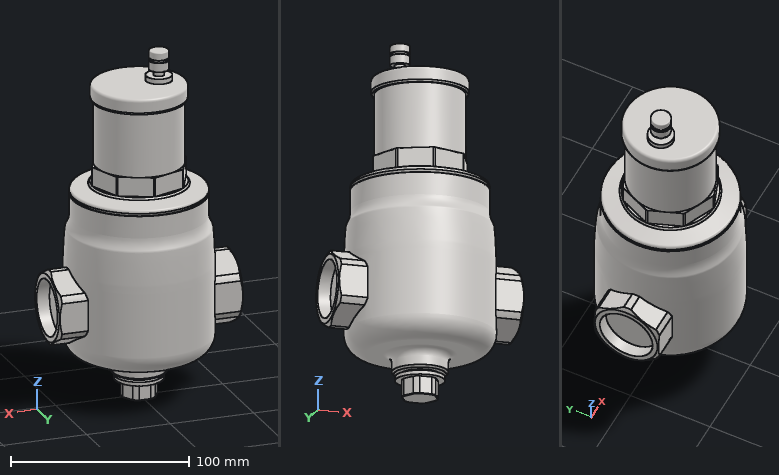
import cadquery as cq
import math


plug_hex_flats = 19.7
plug_hex_corner_radius = 10.5
plug_hex_top = 10.2
plug_hex_chamfer = 0.5
plug_flange_radius = 14.1
plug_flange_top = 12.5
plug_neck_radius = 10.9
plug_top = 14.1

boss_radius = 16.0
boss_chamfer = 1.2
boss_fillet = 4.7
housing_diameter = 85.9
housing_radius = housing_diameter / 2
housing_floor = 25.6
housing_floor_fillet = 11.9
taper_start = 75.8
taper_top = 100.0
taper_top_radius = 41.8
shoulder_edge_height = 101.3
shoulder_edge_radius = 41.5
collar_start = 108.0
collar_radius = 39.4
housing_top = 121.2

port_span = 110.0
port_height = 59.0
port_flats = 40.4
port_corner_radius = 22.1
port_face_radius = 19.7
port_chamfer_length = 1.54
port_bore_radius = 16.6
port_bore_depth = 7.5

cover_lip_radius = 38.5
cover_lip_height = 1.6
cover_edge_height = 123.2
cover_cone_radius = 38.1
cover_cone_start = 124.8
cover_cone_top = 126.9
cover_cone_top_radius = 28.7
octagon_bottom = 128.1
octagon_top = 139.5
octagon_corner_radius = 27.7
octagon_corner_width = 1.0
octagon_turn = -2.0
can_radius = 25.8
cap_radius = 27.7
cap_bottom = 177.5
cap_top = 187.0
cap_bottom_radius = 27.0
cap_bottom_edge_height = 1.2
cap_top_fillet = 2.0

valve_x = -11.9
valve_disc_radius = 7.5
valve_disc_top = 190.0
valve_stem_radius = 3.0
valve_knob_radius = 5.7
valve_knob_bottom = 193.5
valve_groove_radius = 5.1
valve_groove_bottom = 198.8
valve_groove_top = 200.3
valve_top = 205.0
valve_top_fillet = 0.6


def cylinder(radius, bottom, top):
    return cq.Workplane("XY", origin=(0, 0, bottom)).circle(radius).extrude(top - bottom)


def blunt_prism(plane, sides, flats, corner_radius, length, turn=0.0):
    """Regular prism whose corners are rounded off by a coaxial cylinder."""
    circumscribed = flats / math.cos(math.pi / sides)
    prism = plane.transformed(rotate=(0, 0, turn)).polygon(sides, circumscribed).extrude(length)
    return prism.intersect(plane.circle(corner_radius).extrude(length))


def make_drain_plug():
    hexagon = blunt_prism(cq.Workplane("XY"), 6, plug_hex_flats, plug_hex_corner_radius, plug_hex_top)
    hexagon = hexagon.faces("<Z").chamfer(plug_hex_chamfer)
    flange = cylinder(plug_flange_radius, plug_hex_top, plug_flange_top)
    neck = cylinder(plug_neck_radius, plug_flange_top, plug_top)
    return hexagon.union(flange).union(neck)


def make_housing_shell():
    """Turned outside of the housing, from the drain boss up to the collar."""
    floor_fillet_drop = housing_floor_fillet * math.sqrt(0.5)
    boss_fillet_drop = boss_fillet * math.sqrt(0.5)
    floor_arc_centre = (housing_radius - housing_floor_fillet, housing_floor + housing_floor_fillet)
    boss_arc_centre = (boss_radius + boss_fillet, housing_floor - boss_fillet)
    return (
        cq.Workplane("XZ")
        .moveTo(0, plug_top)
        .lineTo(boss_radius - boss_chamfer, plug_top)
        .lineTo(boss_radius, plug_top + boss_chamfer)
        .lineTo(boss_radius, boss_arc_centre[1])
        .threePointArc(
            (boss_arc_centre[0] - boss_fillet_drop, boss_arc_centre[1] + boss_fillet_drop),
            (boss_arc_centre[0], housing_floor),
        )
        .lineTo(floor_arc_centre[0], housing_floor)
        .threePointArc(
            (floor_arc_centre[0] + floor_fillet_drop, floor_arc_centre[1] - floor_fillet_drop),
            (housing_radius, floor_arc_centre[1]),
        )
        .lineTo(housing_radius, taper_start)
        .tangentArcPoint((taper_top_radius, taper_top), relative=False)
        .tangentArcPoint((shoulder_edge_radius, shoulder_edge_height), relative=False)
        .tangentArcPoint((collar_radius, collar_start), relative=False)
        .lineTo(collar_radius, housing_top)
        .lineTo(0, housing_top)
        .close()
        .revolve(360, (0, 0, 0), (0, 1, 0))
    )


def make_port_bar():
    """Hexagon bar along X through the housing, with both ends turned to a cone."""
    end_x = port_span / 2
    plane = cq.Workplane("YZ", origin=(-end_x, 0, port_height))
    bar = blunt_prism(plane, 6, port_flats, port_corner_radius, port_span, turn=90)
    cone_envelope = (
        cq.Workplane("XY", origin=(0, 0, port_height))
        .moveTo(-end_x, 0)
        .lineTo(-end_x, port_face_radius)
        .lineTo(-end_x + port_chamfer_length, port_corner_radius)
        .lineTo(end_x - port_chamfer_length, port_corner_radius)
        .lineTo(end_x, port_face_radius)
        .lineTo(end_x, 0)
        .close()
        .revolve(360, (0, 0, 0), (1, 0, 0))
    )
    return bar.intersect(cone_envelope)


def make_port_bore(side):
    start = (side * port_span / 2, 0, port_height)
    return cq.Workplane("YZ", origin=start).circle(port_bore_radius).extrude(-side * port_bore_depth)


def make_housing():
    housing = make_housing_shell().union(make_port_bar())
    for side in (-1, 1):
        housing = housing.cut(make_port_bore(side))
    return housing


def make_cover_base():
    """Flat cone that closes the housing and carries the octagon."""
    return (
        cq.Workplane("XZ")
        .moveTo(0, housing_top)
        .lineTo(cover_lip_radius, housing_top)
        .lineTo(collar_radius, housing_top + cover_lip_height)
        .lineTo(collar_radius, cover_edge_height)
        .tangentArcPoint((cover_cone_radius, cover_cone_start), relative=False)
        .lineTo(cover_cone_top_radius, cover_cone_top)
        .lineTo(octagon_corner_radius, octagon_bottom)
        .lineTo(0, octagon_bottom)
        .close()
        .revolve(360, (0, 0, 0), (0, 1, 0))
    )


def make_octagon():
    flat_half_angle = math.pi / 8 - octagon_corner_width / (2 * octagon_corner_radius)
    flats = 2 * octagon_corner_radius * math.cos(flat_half_angle)
    plane = cq.Workplane("XY", origin=(0, 0, octagon_bottom))
    return blunt_prism(
        plane, 8, flats, octagon_corner_radius, octagon_top - octagon_bottom, turn=octagon_turn
    )


def make_cap():
    edge_top = cap_bottom + cap_bottom_edge_height
    rim = cylinder(cap_radius, edge_top, cap_top).faces(">Z").edges().fillet(cap_top_fillet)
    underside = (
        cq.Workplane("XY", origin=(0, 0, cap_bottom))
        .circle(cap_bottom_radius)
        .workplane(offset=cap_bottom_edge_height)
        .circle(cap_radius)
        .loft()
    )
    return rim.union(underside)


def make_valve():
    disc = cylinder(valve_disc_radius, cap_top, valve_disc_top)
    stem = cylinder(valve_stem_radius, valve_disc_top, valve_knob_bottom)
    knob = cylinder(valve_knob_radius, valve_knob_bottom, valve_top)
    knob = knob.faces(">Z").edges().fillet(valve_top_fillet)
    groove = cylinder(valve_knob_radius, valve_groove_bottom, valve_groove_top).cut(
        cylinder(valve_groove_radius, valve_groove_bottom, valve_groove_top)
    )
    return disc.union(stem).union(knob.cut(groove)).translate((valve_x, 0, 0))


def make_cover():
    can = cylinder(can_radius, octagon_top, cap_bottom)
    return make_cover_base().union(make_octagon()).union(can).union(make_cap()).union(make_valve())


drain_plug = make_drain_plug()
housing = make_housing()
cover = make_cover()

result = cq.Compound.makeCompound([drain_plug.val(), housing.val(), cover.val()])